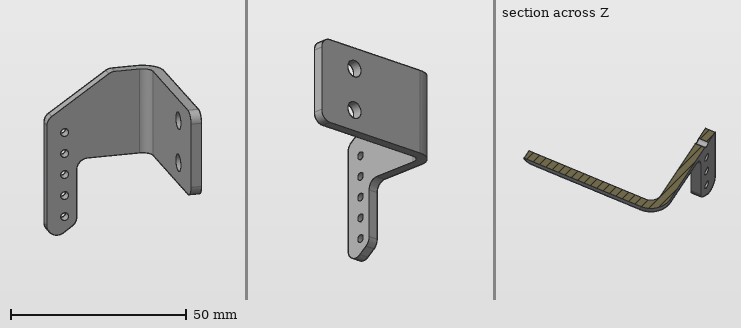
import cadquery as cq
import math

length_x = 44.45
depth_y = 33.78
height_z = 47.85
thickness = 3.15
corner_radius = thickness
bend_inner_radius = thickness
bend_outer_radius = bend_inner_radius + thickness

plate_height = 25.4
plate_hole_diameter = 5.0
plate_hole_end_distance = plate_height / 2
plate_hole_x = length_x - plate_hole_end_distance
plate_hole_depths = (plate_height / 4, 3 * plate_height / 4)

arm_width = 8.9
top_edge_length = 14.6
slope_drop = 12.73
tip_angle = math.radians(35)
arm_hole_diameter = 2.3
arm_hole_edge_distance = 5.25
arm_hole_count = 5
arm_hole_pitch = plate_height / 4
first_arm_hole_depth = 17.05


def bent_sheet():
    """Full-height L-shaped sheet with a rounded bend."""
    return (
        cq.Workplane("XY")
        .moveTo(0, 0)
        .lineTo(length_x, 0)
        .lineTo(length_x, -thickness)
        .lineTo(thickness, -thickness)
        .lineTo(thickness, -depth_y)
        .lineTo(0, -depth_y)
        .close()
        .extrude(-height_z)
        .edges(cq.selectors.NearestToPointSelector((0, 0, -height_z / 2)))
        .fillet(bend_outer_radius)
        .edges(cq.selectors.NearestToPointSelector((thickness, -thickness, -height_z / 2)))
        .fillet(bend_inner_radius)
    )


def plate_outline():
    """Plate silhouette, rounded at its free end and cut through the sheet along Y."""
    return (
        cq.Workplane("XZ")
        .moveTo(0, 0)
        .lineTo(length_x, 0)
        .lineTo(length_x, -plate_height)
        .lineTo(0, -plate_height)
        .close()
        .extrude(bend_outer_radius)
        .edges("|Y and >X")
        .fillet(corner_radius)
    )


def flange_outline():
    """Flange silhouette with a sloped shoulder and a slanted, rounded tip."""
    arm_back_y = arm_width - depth_y
    tip_overshoot = corner_radius * (1 / math.cos(tip_angle) + math.tan(tip_angle) - 1)
    tip_z = -height_z - tip_overshoot
    arm_back_z = tip_z + arm_width * math.tan(tip_angle)
    return (
        cq.Workplane("YZ")
        .moveTo(-bend_outer_radius, 0)
        .lineTo(-top_edge_length, 0)
        .lineTo(-depth_y, -slope_drop)
        .lineTo(-depth_y, tip_z)
        .lineTo(arm_back_y, arm_back_z)
        .lineTo(arm_back_y, -plate_height)
        .lineTo(-bend_outer_radius, -plate_height)
        .close()
        .extrude(thickness)
        .edges("|X")
        .edges(cq.selectors.BoxSelector(
            (-0.5, -depth_y - 0.5, tip_z - 0.5),
            (thickness + 0.5, -bend_outer_radius - 0.5, 0.5),
        ))
        .fillet(corner_radius)
    )


def plate_holes():
    centers = [(plate_hole_x, -depth) for depth in plate_hole_depths]
    return (
        cq.Workplane("XZ")
        .pushPoints(centers)
        .circle(plate_hole_diameter / 2)
        .extrude(thickness)
    )


def arm_holes():
    hole_y = arm_hole_edge_distance - depth_y
    centers = [
        (hole_y, -first_arm_hole_depth - index * arm_hole_pitch)
        for index in range(arm_hole_count)
    ]
    return (
        cq.Workplane("YZ")
        .pushPoints(centers)
        .circle(arm_hole_diameter / 2)
        .extrude(thickness)
    )


plate_and_bend = bent_sheet().intersect(plate_outline())
result = plate_and_bend.union(flange_outline()).cut(plate_holes()).cut(arm_holes())